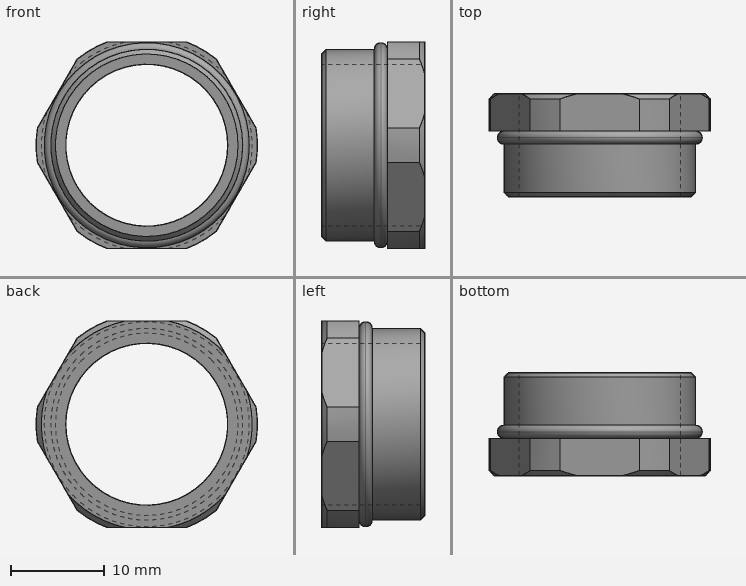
import cadquery as cq
import math

total_length = 11.0
across_flats = 22.0
head_diameter = 23.57
head_length = 4.0
head_chamfer_radial = 0.57
head_chamfer_axial = 0.6
sleeve_diameter = 20.4
sleeve_chamfer = 0.5
bore_diameter = 17.2
ring_outer_diameter = 21.83
ring_thickness = 1.4

head_front = total_length - head_length
ring_radius = ring_thickness / 2
ring_center_radius = ring_outer_diameter / 2 - ring_radius
ring_center_y = head_front - ring_radius


def revolve_about_y(profile):
    """Turn a closed profile of radius against y a full turn about the Y axis."""
    return profile.revolve(360, (0, 0, 0), (0, 1, 0))


def make_head():
    """Hexagon with flats facing +Z and -Z, corners turned and back edge chamfered."""
    across_corners = across_flats / math.cos(math.pi / 6)
    hexagon = (
        cq.Workplane("XZ", origin=(0, total_length, 0))
        .polygon(6, across_corners)
        .extrude(head_length)
    )
    radius = head_diameter / 2
    turned_blank = revolve_about_y(
        cq.Workplane("XY").polyline([
            (0, head_front),
            (radius, head_front),
            (radius, total_length - head_chamfer_axial),
            (radius - head_chamfer_radial, total_length),
            (0, total_length),
        ]).close()
    )
    return hexagon.intersect(turned_blank)


def make_sleeve():
    """Cylinder running from y = 0 to the head, with a chamfered free end."""
    return (
        cq.Workplane("XZ", origin=(0, head_front, 0))
        .circle(sleeve_diameter / 2)
        .extrude(head_front)
        .faces("<Y").chamfer(sleeve_chamfer)
    )


def make_sealing_ring():
    """Round-section ring seated against the front face of the head."""
    return revolve_about_y(
        cq.Workplane("XY").moveTo(ring_center_radius, ring_center_y).circle(ring_radius)
    )


def make_bore():
    """Plain hole through the whole length."""
    return (
        cq.Workplane("XZ", origin=(0, total_length, 0))
        .circle(bore_diameter / 2)
        .extrude(total_length)
    )


result = make_head().union(make_sleeve()).union(make_sealing_ring()).cut(make_bore())